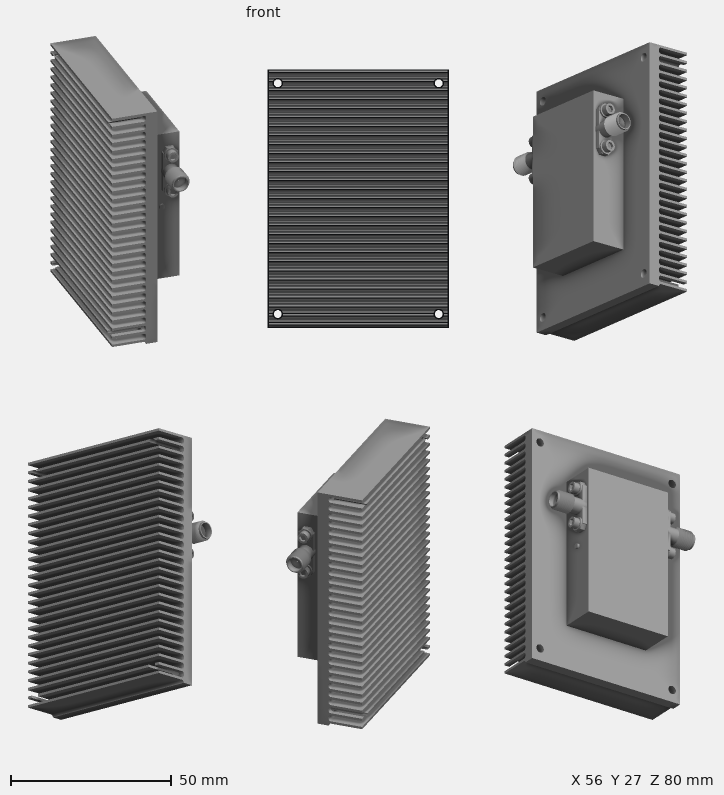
import cadquery as cq
import math

SINK_WIDTH = 56.0
SINK_HEIGHT = 80.0
SINK_DEPTH = 15.0
PLATE_THICKNESS = 3.7
FIN_COUNT = 29
FIN_PITCH = 2.8
FIN_THICKNESS = 0.8
SLOT_WIDTH = FIN_PITCH - FIN_THICKNESS
SLOT_FLOOR_RADIUS = 0.8

HOLE_DIAMETER = 2.8
HOLE_SPACING_X = 50.0
HOLE_SPACING_Z = 71.7

BOX_WIDTH = 30.0
BOX_HEIGHT = 50.0
BOX_DEPTH = 12.0

CONNECTOR_INSET = 3.45
CONNECTOR_Z = 12.4
FLANGE_THICKNESS = 1.6
FLANGE_END_MARGIN = 0.6
CONNECTOR_LENGTH = 11.0
BARREL_RADIUS = 2.65
THREAD_RADIUS = 3.2
THREAD_PITCH = 0.61
THREAD_TURNS = 9
THREAD_TIP_GAP = 0.7
BORE_RADIUS = 2.3
BORE_DEPTH = 2.6
PIN_RADIUS = 0.2
PIN_LENGTH = 0.6

SCREW_OFFSET = 6.1
BOSS_RADIUS = 2.5
WASHER_RADIUS = 2.25
WASHER_THICKNESS = 0.6
HEAD_RADIUS = 1.8
HEAD_HEIGHT = 2.0
SOCKET_ACROSS_FLATS = 2.0
SOCKET_DEPTH = 1.0

TERMINAL_RADIUS = 0.9
TERMINAL_HEIGHT = 0.7
TERMINAL_OFFSET = 2.4

BACK_Y = SINK_DEPTH + BOX_DEPTH
FLANGE_WIDTH = 2 * BOSS_RADIUS
FLANGE_LENGTH = 2 * (SCREW_OFFSET + FLANGE_END_MARGIN)
AXIS_Y = BACK_Y - CONNECTOR_INSET
FIN_LENGTH = SINK_DEPTH - PLATE_THICKNESS


def side_disc(x, y, z, radius, length):
    """Cylinder along X that starts at (x, y, z) and grows toward -X."""
    return cq.Workplane(cq.Solid.makeCylinder(radius, length, cq.Vector(x, y, z), cq.Vector(-1, 0, 0)))


def make_heat_sink():
    sink = cq.Workplane("XY").box(SINK_WIDTH, SINK_DEPTH, SINK_HEIGHT, centered=(True, False, True))
    slot = (
        cq.Workplane("XY")
        .box(SINK_WIDTH, FIN_LENGTH, SLOT_WIDTH, centered=(True, False, True))
        .edges("|X and >Y")
        .fillet(SLOT_FLOOR_RADIUS)
    )
    first_slot_z = SINK_HEIGHT / 2 - FIN_THICKNESS - SLOT_WIDTH / 2
    for i in range(FIN_COUNT):
        sink = sink.cut(slot.translate((0, 0, first_slot_z - i * FIN_PITCH)))
    holes = (
        cq.Workplane("XZ")
        .rect(HOLE_SPACING_X, HOLE_SPACING_Z, forConstruction=True)
        .vertices()
        .circle(HOLE_DIAMETER / 2)
        .extrude(-SINK_DEPTH)
    )
    return sink.cut(holes)


def make_box():
    return (
        cq.Workplane("XY")
        .box(BOX_WIDTH, BOX_DEPTH, BOX_HEIGHT, centered=(True, False, True))
        .translate((0, SINK_DEPTH, 0))
    )


def make_screw(z):
    seat_x = -BOX_WIDTH / 2 - FLANGE_THICKNESS
    boss = (
        cq.Workplane("YZ", origin=(seat_x, AXIS_Y, z))
        .polygon(6, 2 * BOSS_RADIUS)
        .extrude(FLANGE_THICKNESS)
    )
    washer = side_disc(seat_x, AXIS_Y, z, WASHER_RADIUS, WASHER_THICKNESS)
    head = side_disc(seat_x - WASHER_THICKNESS, AXIS_Y, z, HEAD_RADIUS, HEAD_HEIGHT)
    socket_diameter = SOCKET_ACROSS_FLATS / math.cos(math.pi / 6)
    head_face = head.faces("<X").workplane(centerOption="CenterOfMass")
    head = head_face.polygon(6, socket_diameter).cutBlind(-SOCKET_DEPTH)
    return boss.union(washer).union(head)


def make_threaded_barrel():
    """Revolved barrel with V-shaped thread rings and an open front bore around a pin."""
    tip = CONNECTOR_LENGTH
    bore_floor = tip - BORE_DEPTH
    profile = cq.Workplane("XY").lineTo(0, BARREL_RADIUS)
    thread_start = tip - THREAD_TIP_GAP - THREAD_TURNS * THREAD_PITCH
    for i in range(THREAD_TURNS):
        root = thread_start + i * THREAD_PITCH
        profile = profile.lineTo(root, BARREL_RADIUS)
        profile = profile.lineTo(root + THREAD_PITCH / 2, THREAD_RADIUS)
    profile = profile.lineTo(tip - THREAD_TIP_GAP, BARREL_RADIUS).lineTo(tip, BARREL_RADIUS)
    profile = profile.lineTo(tip, BORE_RADIUS).lineTo(bore_floor, BORE_RADIUS)
    profile = profile.lineTo(bore_floor, PIN_RADIUS).lineTo(bore_floor + PIN_LENGTH, PIN_RADIUS)
    profile = profile.lineTo(bore_floor + PIN_LENGTH, 0).close()
    barrel = profile.revolve(360, (0, 0, 0), (1, 0, 0)).mirror("YZ")
    return barrel.translate((-BOX_WIDTH / 2, AXIS_Y, CONNECTOR_Z))


def make_connector():
    """Connector with flange and screws on the -X side of the box."""
    connector = (
        cq.Workplane("XY")
        .box(FLANGE_THICKNESS, FLANGE_WIDTH, FLANGE_LENGTH)
        .translate((-BOX_WIDTH / 2 - FLANGE_THICKNESS / 2, AXIS_Y, CONNECTOR_Z))
    )
    connector = connector.union(make_threaded_barrel())
    for side in (-1, 1):
        connector = connector.union(make_screw(CONNECTOR_Z + side * SCREW_OFFSET))
    return connector


def make_terminal():
    outer_x = BOX_WIDTH / 2 + TERMINAL_HEIGHT
    return side_disc(outer_x, AXIS_Y - TERMINAL_OFFSET, 0, TERMINAL_RADIUS, TERMINAL_HEIGHT)


left_connector = make_connector()
right_connector = left_connector.mirror("YZ")

result = (
    make_heat_sink()
    .union(make_box())
    .union(left_connector)
    .union(right_connector)
    .union(make_terminal())
    .translate((0, -BACK_Y / 2, 0))
)